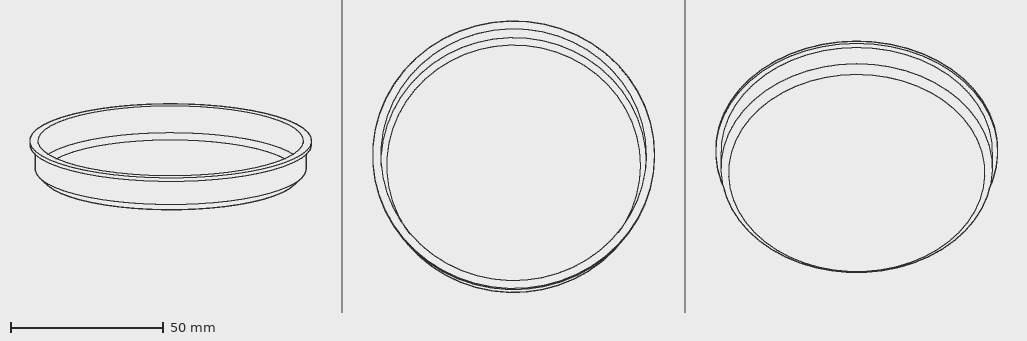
import cadquery as cq
import math

rim_diameter = 92.5
height = 12.0

body_diameter = 89.0
bore_diameter = 87.0
rim_thickness = 1.2
wall = (body_diameter - bore_diameter) / 2
floor_thickness = wall

outer_chamfer = 2.5
inner_chamfer = outer_chamfer - wall * (2 - math.sqrt(2))


def disc(diameter, bottom, top):
    """Solid disc on the Z axis between two heights."""
    return cq.Workplane("XY").workplane(offset=bottom).circle(diameter / 2).extrude(top - bottom)


body = disc(body_diameter, 0, height).faces("<Z").edges().chamfer(outer_chamfer)
rim = disc(rim_diameter, height - rim_thickness, height)

cavity = disc(bore_diameter, floor_thickness, height).faces("<Z").edges().chamfer(inner_chamfer)

result = body.union(rim).cut(cavity)